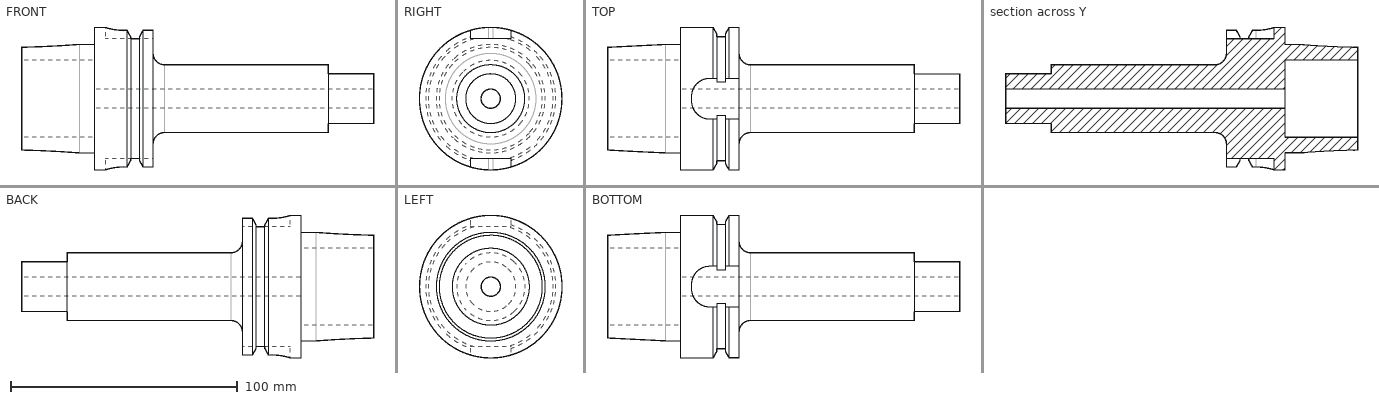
import cadquery as cq
import math

TOTAL_LENGTH = 155.3
TAPER_LENGTH = 25.5
SHANK_LENGTH = 32.0
FLANGE_WIDTH = 26.0
PILOT_LENGTH = 20.0
NECK_FILLET = 5.0

SHANK_DIAMETER = 48.0
TAPER_RATIO = 1 / 10
FLANGE_DIAMETER = 63.0
NECK_DIAMETER = 30.0
PILOT_DIAMETER = 22.0
BORE_DIAMETER = 34.0
THROUGH_HOLE_DIAMETER = 8.4

GROOVE_CENTRE_FROM_FLANGE_FACE = 18.0
GROOVE_TOP_WIDTH = 7.0
GROOVE_FLOOR_WIDTH = 3.75
GROOVE_FLOOR_DIAMETER = 55.0
GROOVE_BEVEL_ANGLE = 60.0

SLOT_WIDTH = 18.0
SLOT_FLOOR_HEIGHT = 26.5
SLOT_START = 37.0
SLOT_CORNER_RADIUS = 8.0

FLANGE_END = SHANK_LENGTH + FLANGE_WIDTH
PILOT_START = TOTAL_LENGTH - PILOT_LENGTH
MOUTH_DIAMETER = SHANK_DIAMETER - TAPER_RATIO * TAPER_LENGTH
GROOVE_CENTRE = SHANK_LENGTH + GROOVE_CENTRE_FROM_FLANGE_FACE
BORE_DEPTH = SHANK_LENGTH


def make_turned_body():
    """Solid of revolution: taper, flange, filleted neck and pilot."""
    neck_radius = NECK_DIAMETER / 2
    fillet_start = (FLANGE_END, neck_radius + NECK_FILLET)
    fillet_end = (FLANGE_END + NECK_FILLET, neck_radius)
    fillet_drop = NECK_FILLET * math.sqrt(0.5)
    fillet_middle = (fillet_end[0] - fillet_drop, fillet_start[1] - fillet_drop)
    return (
        cq.Workplane("XY")
        .lineTo(0, MOUTH_DIAMETER / 2)
        .lineTo(TAPER_LENGTH, SHANK_DIAMETER / 2)
        .lineTo(SHANK_LENGTH, SHANK_DIAMETER / 2)
        .lineTo(SHANK_LENGTH, FLANGE_DIAMETER / 2)
        .lineTo(FLANGE_END, FLANGE_DIAMETER / 2)
        .lineTo(*fillet_start)
        .threePointArc(fillet_middle, fillet_end)
        .lineTo(PILOT_START, neck_radius)
        .lineTo(PILOT_START, PILOT_DIAMETER / 2)
        .lineTo(TOTAL_LENGTH, PILOT_DIAMETER / 2)
        .lineTo(TOTAL_LENGTH, 0)
        .close()
        .revolve(360, (0, 0, 0), (1, 0, 0))
    )


def make_groove():
    """Ring cutter: straight-walled floor with bevelled mouth."""
    flange_radius = FLANGE_DIAMETER / 2
    half_top = GROOVE_TOP_WIDTH / 2
    half_floor = GROOVE_FLOOR_WIDTH / 2
    floor_radius = GROOVE_FLOOR_DIAMETER / 2
    bevel_depth = (half_top - half_floor) * math.tan(math.radians(GROOVE_BEVEL_ANGLE))
    bevel_radius = flange_radius - bevel_depth
    return (
        cq.Workplane("XY")
        .moveTo(GROOVE_CENTRE - half_top, flange_radius)
        .lineTo(GROOVE_CENTRE - half_floor, bevel_radius)
        .lineTo(GROOVE_CENTRE - half_floor, floor_radius)
        .lineTo(GROOVE_CENTRE + half_floor, floor_radius)
        .lineTo(GROOVE_CENTRE + half_floor, bevel_radius)
        .lineTo(GROOVE_CENTRE + half_top, flange_radius)
        .close()
        .revolve(360, (0, 0, 0), (1, 0, 0))
    )


def make_slot(side):
    """Flat-floored slot with a rounded end, open at the rear flange face.

    side is +1 for the +Z slot and -1 for the -Z slot.
    """
    length = FLANGE_END - SLOT_START
    depth = FLANGE_DIAMETER / 2 - SLOT_FLOOR_HEIGHT
    return (
        cq.Workplane("XY", origin=(SLOT_START, 0, side * SLOT_FLOOR_HEIGHT))
        .rect(length, SLOT_WIDTH, centered=(False, True))
        .extrude(side * depth)
        .edges("|Z and <X")
        .fillet(SLOT_CORNER_RADIUS)
    )


def make_bore(diameter, depth):
    """Axial hole entering from the shank mouth."""
    return cq.Workplane("YZ").circle(diameter / 2).extrude(depth)


result = (
    make_turned_body()
    .cut(make_groove())
    .cut(make_slot(1))
    .cut(make_slot(-1))
    .cut(make_bore(BORE_DIAMETER, BORE_DEPTH))
    .cut(make_bore(THROUGH_HOLE_DIAMETER, TOTAL_LENGTH))
)